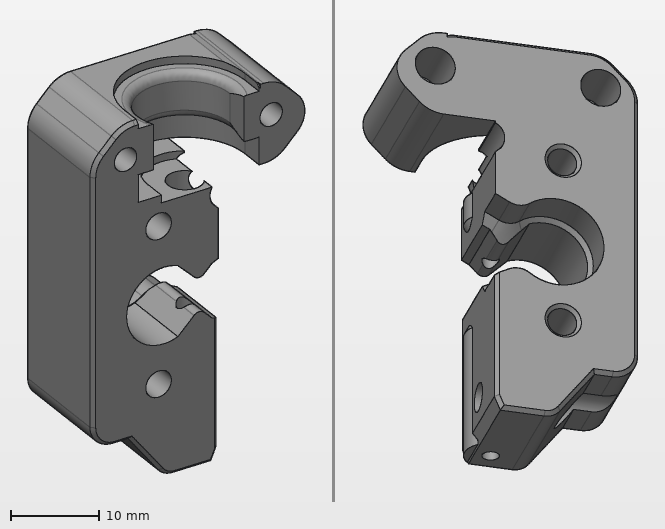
import cadquery as cq
import math

WIDTH = 14.2
DEPTH = 28.4
HEIGHT = 47.4

BACK_Y = 16.85
STEP_Z = 6.2
STEP_Y = 5.05
SLOPE_END_Y = 9.8
HEEL_RUN = 0.7
HEEL_RISE = 1.65
TOP_BEVEL = 4.05
TOP_ROUND = 4.05
OVERHANG_ROUND = 3.0
SLOPE_ROUND = 2.35
EDGE_CHAMFER = 0.47

ARM_BOTTOM_Z = 36.85
ARM_TOP_Z = 47.25
ARM_START_Y = 22.45
TOP_RAMP = 0.9
ARM_ROUND = 4.05
NOSE_ROUND = 3.35

GROOVE_RADIUS = 2.05
GROOVE_FRONT_Y = 15.75

POCKET_X = 11.25
POCKET_Y = 14.2
POCKET_RADIUS = 8.05
LIP_RADIUS = 6.0
LIP_ROUND = 1.1
RECESS_RADIUS = 5.0
RIM_DEPTH = 1.0
CAVITY_TOP_Z = 40.45
RECESS_DEPTH = 1.0

RIB_RADIUS = 3.1
PASSAGE_DIAMETER = 2.0
FUNNEL_DIAMETER = 3.4
TUBE_DIAMETER = 4.4
TUBE_DEPTH = 2.85
RIB_TAPER = POCKET_Y + RIB_RADIUS - BACK_Y
RIB_TOP_Z = 33.05
RIB_END_GAP = 6.15
RIB_END_LENGTH = 0.95

CLIP_Y = 9.57
CLIP_Z = 22.35
CLIP_WIDE_RADIUS = 5.5
CLIP_NARROW_RADIUS = 5.0
CLIP_WIDE_LENGTH = 4.45
CLIP_TAPER_LENGTH = 2.15
CLIP_TAPER_ANGLE = 45
WIDE_CREST = (4.55, 4.05)
NARROW_CREST = (4.7, 2.25)
NARROW_LIP_ROUND = 0.95
NARROW_FLANK_RUN = 1.0
NARROW_SEAT_ANGLE = math.radians(22)
MOUTH_RUN = 12.32
MOUTH_SLOPE = math.radians(27)

SCREW_Y = 8.85
SCREW_UPPER_Z = 32.9
SCREW_LOWER_Z = 12.35
SCREW_DIAMETER = 3.4
SCREW_CHAMFER = 0.45
ARM_SCREW_YS = (4.45, 23.9)
ARM_SCREW_Z = 42.9
ARM_SCREW_DIAMETER = 3.0
HEAD_DIAMETER = 4.7
ARM_HEAD_DEPTH = WIDTH / 2
FRONT_SCREW_Z = 5.0
FRONT_HEAD_FLOOR_Y = 8.3


def prism(points):
    """Polygon in the Y-Z plane extruded across the whole width."""
    return cq.Workplane("YZ").polyline(points).close().extrude(WIDTH)


def round_edge(body, y, z, radius):
    """Fillet the edge along X that passes through (y, z)."""
    near = cq.selectors.NearestToPointSelector((WIDTH / 2, y, z))
    return body.edges("|X").edges(near).fillet(radius)


def bar(direction, start, diameter, length):
    """Round bar from a start point along a direction."""
    cylinder = cq.Solid.makeCylinder(diameter / 2, length, cq.Vector(*start), cq.Vector(*direction))
    return cq.Workplane(cylinder)


def pocket_slot(radius, bottom, top):
    """Half-round slot about the pocket axis, open toward +X."""
    plane = cq.Workplane("XY", origin=(POCKET_X, POCKET_Y, bottom))
    run = plane.moveTo(WIDTH / 2, 0).rect(WIDTH, 2 * radius).extrude(top - bottom)
    return plane.circle(radius).extrude(top - bottom).union(run)


def main_block():
    outline = [
        (0, STEP_Z),
        (STEP_Y, STEP_Z),
        (SLOPE_END_Y, 0),
        (BACK_Y - HEEL_RUN, 0),
        (BACK_Y, HEEL_RISE),
        (BACK_Y, ARM_BOTTOM_Z),
        (ARM_START_Y, ARM_BOTTOM_Z),
        (ARM_START_Y, ARM_TOP_Z),
        (ARM_START_Y - TOP_RAMP, HEIGHT),
        (TOP_BEVEL, HEIGHT),
        (0, HEIGHT - TOP_BEVEL),
    ]
    block = prism(outline)
    block = round_edge(block, 0, STEP_Z, OVERHANG_ROUND)
    block = round_edge(block, SLOPE_END_Y, 0, SLOPE_ROUND)
    block = round_edge(block, TOP_BEVEL, HEIGHT, TOP_ROUND)
    block = round_edge(block, 0, HEIGHT - TOP_BEVEL, TOP_ROUND)

    gap_half_height = 1.9
    gap = cq.Workplane("XY").box(WIDTH, 4.75, 2 * gap_half_height).translate((WIDTH / 2, BACK_Y, CLIP_Z))
    block = block.cut(gap)

    def is_chamfered(edge):
        centre = edge.Center()
        below_gap = centre.z < CLIP_Z - gap_half_height - EDGE_CHAMFER
        in_front = centre.y < BACK_Y / 2
        on_top = centre.z > HEIGHT - EDGE_CHAMFER
        return below_gap or in_front or on_top

    return block.faces("<X or >X").edges().filter(is_chamfered).chamfer(EDGE_CHAMFER)


def arm():
    middle_z = (ARM_TOP_Z + ARM_BOTTOM_Z) / 2
    half_height = ARM_TOP_Z - middle_z
    apex_y = DEPTH + NOSE_ROUND * (math.sqrt(2) - 1)
    bevel_y = apex_y - half_height
    slab = prism([
        (ARM_START_Y, ARM_BOTTOM_Z),
        (bevel_y, ARM_BOTTOM_Z),
        (apex_y, middle_z),
        (bevel_y, ARM_TOP_Z),
        (ARM_START_Y, ARM_TOP_Z),
    ])
    slab = round_edge(slab, bevel_y, ARM_BOTTOM_Z, ARM_ROUND)
    slab = round_edge(slab, bevel_y, ARM_TOP_Z, ARM_ROUND)
    return round_edge(slab, apex_y, middle_z, NOSE_ROUND)


def rib():
    """Half-round ribs on the rear face above and below the clip, with conical ends."""
    small = RIB_RADIUS - RIB_TAPER
    lower_end = CLIP_Z - RIB_END_GAP
    upper_end = CLIP_Z + RIB_END_GAP
    lower = [
        (0, 0),
        (RIB_RADIUS, 0),
        (RIB_RADIUS, lower_end - RIB_END_LENGTH),
        (small, lower_end),
        (0, lower_end),
    ]
    upper = [
        (0, upper_end),
        (small, upper_end),
        (RIB_RADIUS, upper_end + RIB_END_LENGTH),
        (RIB_RADIUS, RIB_TOP_Z - RIB_TAPER),
        (small, RIB_TOP_Z),
        (0, RIB_TOP_Z),
    ]
    ribs = cq.Workplane("XY")
    for half_section in (lower, upper):
        plane = cq.Workplane("XZ", origin=(POCKET_X, POCKET_Y, 0))
        ribs = ribs.add(plane.polyline(half_section).close().revolve(360, (0, 0), (0, 1)))
    root_y = BACK_Y - EDGE_CHAMFER
    behind = prism([(root_y, 0), (DEPTH, 0), (DEPTH, HEIGHT), (root_y, HEIGHT)])
    return ribs.combine().intersect(behind)


def groove():
    axis_y = GROOVE_FRONT_Y + GROOVE_RADIUS
    axis_z = ARM_BOTTOM_Z - GROOVE_RADIUS
    tangent = GROOVE_RADIUS * math.sqrt(0.5)
    ramp_y = axis_y - tangent
    ramp_z = axis_z - tangent
    reach = DEPTH - ramp_y
    return (
        cq.Workplane("YZ")
        .moveTo(axis_y, ARM_BOTTOM_Z)
        .threePointArc((GROOVE_FRONT_Y, axis_z), (ramp_y, ramp_z))
        .lineTo(ramp_y + reach, ramp_z - reach)
        .lineTo(ramp_y + reach, ARM_BOTTOM_Z)
        .close()
        .extrude(WIDTH)
    )


def lip_flare(z, direction):
    """Ring that rounds the lip edge at z; direction is +1 on the rim and -1 on the cavity ceiling."""
    bend = LIP_ROUND * (1 - math.sqrt(0.5))
    return (
        cq.Workplane("XZ", origin=(POCKET_X, POCKET_Y, z))
        .lineTo(LIP_RADIUS + LIP_ROUND, 0)
        .threePointArc((LIP_RADIUS + bend, -direction * bend), (LIP_RADIUS, -direction * LIP_ROUND))
        .lineTo(0, -direction * LIP_ROUND)
        .close()
        .revolve(360, (0, 0), (0, 1))
    )


def pocket():
    rim_z = HEIGHT - RIM_DEPTH
    return (
        pocket_slot(POCKET_RADIUS, rim_z, HEIGHT)
        .union(lip_flare(rim_z, 1))
        .union(pocket_slot(LIP_RADIUS, CAVITY_TOP_Z, rim_z))
        .union(lip_flare(CAVITY_TOP_Z, -1))
        .union(pocket_slot(POCKET_RADIUS, ARM_BOTTOM_Z, CAVITY_TOP_Z))
        .union(pocket_slot(RECESS_RADIUS, ARM_BOTTOM_Z - RECESS_DEPTH, ARM_BOTTOM_Z))
    )


def passage():
    floor_z = ARM_BOTTOM_Z - RECESS_DEPTH
    seat_z = floor_z - TUBE_DEPTH
    tube = bar((0, 0, -1), (POCKET_X, POCKET_Y, floor_z), TUBE_DIAMETER, TUBE_DEPTH)
    bore = bar((0, 0, -1), (POCKET_X, POCKET_Y, floor_z), PASSAGE_DIAMETER, floor_z)
    funnel = cq.Solid.makeCone(
        FUNNEL_DIAMETER / 2,
        PASSAGE_DIAMETER / 2,
        (FUNNEL_DIAMETER - PASSAGE_DIAMETER) / 2,
        cq.Vector(POCKET_X, POCKET_Y, seat_z),
        cq.Vector(0, 0, -1),
    )
    return tube.union(bore).union(cq.Workplane(funnel))


def clip_sketch(x, radius, seat, lip, flare):
    """Closed outline of the clip opening at one X, mirrored about the clip axis.

    Points are (distance behind the axis, height from the axis): seat is where the
    round seat ends, lip holds the start, crest and end of the lip arc, and flare is
    where the mouth begins to open at its final slope.
    """
    start, crest, end = lip
    mouth = (MOUTH_RUN, flare[1] + (MOUTH_RUN - flare[0]) * math.tan(MOUTH_SLOPE))

    def below(point):
        return point[0], -point[1]

    outline = cq.Workplane("YZ", origin=(x, CLIP_Y, CLIP_Z)).moveTo(*below(seat))
    outline = outline.threePointArc((-radius, 0), seat)
    if start != seat:
        outline = outline.lineTo(*start)
    outline = outline.threePointArc(crest, end)
    if flare != end:
        outline = outline.lineTo(*flare)
    outline = outline.lineTo(*mouth).lineTo(*below(mouth))
    if flare != end:
        outline = outline.lineTo(*below(flare))
    outline = outline.lineTo(*below(end)).threePointArc(below(crest), below(start))
    return outline.close()


def lip_point(crest, radius, angle):
    """Point on a lip arc, at an angle past its crest."""
    return crest[0] + radius * math.sin(angle), crest[1] + radius * (1 - math.cos(angle))


def wide_clip(x):
    """The lip arc leaves the round seat tangentially, which sets its radius."""
    run, rise = WIDE_CREST
    seat_radius = CLIP_WIDE_RADIUS
    lip_radius = (run**2 + rise**2 - seat_radius**2) / (2 * (seat_radius - rise))
    seat_angle = math.atan2(run, rise + lip_radius)
    seat = (seat_radius * math.sin(seat_angle), seat_radius * math.cos(seat_angle))
    end = lip_point(WIDE_CREST, lip_radius, MOUTH_SLOPE)
    return clip_sketch(x, seat_radius, seat, [seat, WIDE_CREST, end], end)


def narrow_clip(x):
    """The lip arc runs between two 45 degree flanks."""
    flank = math.radians(45)
    seat_radius = CLIP_NARROW_RADIUS
    seat = (seat_radius * math.sin(NARROW_SEAT_ANGLE), seat_radius * math.cos(NARROW_SEAT_ANGLE))
    start = lip_point(NARROW_CREST, NARROW_LIP_ROUND, -flank)
    end = lip_point(NARROW_CREST, NARROW_LIP_ROUND, flank)
    flare = (end[0] + NARROW_FLANK_RUN, end[1] + NARROW_FLANK_RUN)
    return clip_sketch(x, seat_radius, seat, [start, NARROW_CREST, end], flare)


def clip():
    """Narrow opening through the whole width, widened from the -X side and tapered in between."""
    return [
        narrow_clip(0).extrude(WIDTH),
        wide_clip(0).extrude(CLIP_WIDE_LENGTH),
        wide_clip(CLIP_WIDE_LENGTH).extrude(CLIP_TAPER_LENGTH, taper=CLIP_TAPER_ANGLE),
    ]


def side_screw(z):
    hole = bar((1, 0, 0), (0, SCREW_Y, z), SCREW_DIAMETER, WIDTH)
    radius = SCREW_DIAMETER / 2
    mouth = cq.Solid.makeCone(
        radius + SCREW_CHAMFER, radius, SCREW_CHAMFER, cq.Vector(0, SCREW_Y, z), cq.Vector(1, 0, 0)
    )
    return hole.union(cq.Workplane(mouth))


def arm_screw(y):
    start = (0, y, ARM_SCREW_Z)
    hole = bar((1, 0, 0), start, ARM_SCREW_DIAMETER, WIDTH)
    return hole.union(bar((1, 0, 0), start, HEAD_DIAMETER, ARM_HEAD_DEPTH))


def front_screw():
    start = (WIDTH / 2, 0, FRONT_SCREW_Z)
    hole = bar((0, 1, 0), start, SCREW_DIAMETER, DEPTH)
    return hole.union(bar((0, 1, 0), start, HEAD_DIAMETER, FRONT_HEAD_FLOOR_Y))


cutters = [pocket(), passage(), front_screw()] + clip()
cutters += [side_screw(z) for z in (SCREW_UPPER_Z, SCREW_LOWER_Z)]
cutters += [arm_screw(y) for y in ARM_SCREW_YS]

body = main_block().union(arm()).cut(groove()).union(rib())
for cutter in cutters:
    body = body.cut(cutter)

result = cq.Workplane(body.solids().val())